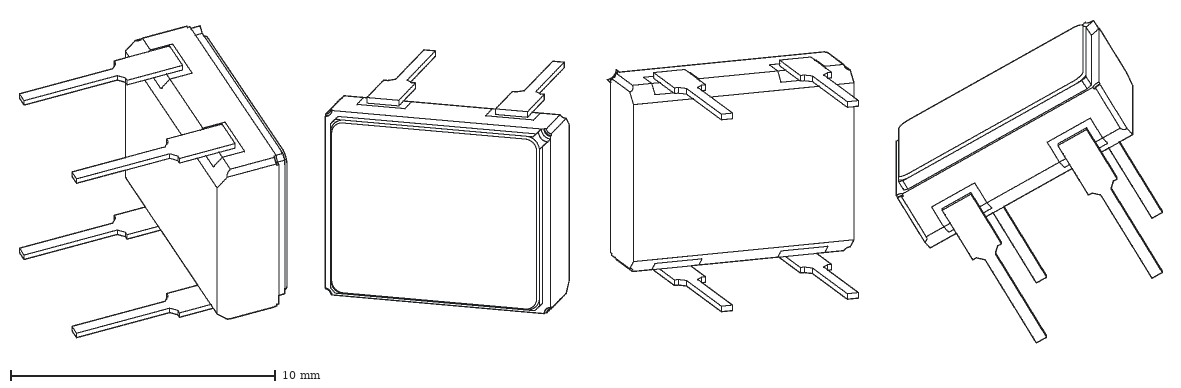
import cadquery as cq

width = 8.89
overall_depth = 8.12
overall_height = 7.77
lead_thickness = 0.22
height = overall_height - 2 * lead_thickness
half_width = width / 2
half_height = height / 2

body_back = 2.45
flange_back = 2.54
lid_back = 2.925
lip_back = 3.05

bevel_depth = 0.62
bevel_drop = 0.58
body_groove_radius = 0.19
flange_groove_radius = 0.26

lid_inset_x = 0.33
lid_inset_z = 0.21
lid_chamfer = 0.19
tab_notch_radius = 0.365

lip_inset = 0.076
cove_radius = 0.16
lip_corner_radius = 0.445
lip_height = lip_back - lid_back

lead_pitch = 5.08
lead_start = 1.28
lead_tip = lip_back - overall_depth
shoulder_y = -1.005
neck_y = -1.24
blade_width = 1.26
shoulder_width = 0.94
shank_width = 0.45
pad_width = 1.89
pad_back = 1.54
pad_front = 0.25
pad_depth = bevel_drop * (bevel_depth - pad_front) / bevel_depth

lead_places = [(x, side) for x in (-lead_pitch / 2, lead_pitch / 2) for side in (1, -1)]


def xz_plane(y):
    """Plane at the given Y whose local axes are +X and +Z; it extrudes toward -Y."""
    return cq.Workplane("XZ", origin=(0, y, 0))


def corner_grooves(radius, y_front, y_back):
    """Four round cutters, one centred on each corner of the housing outline."""
    return (
        xz_plane(y_back)
        .rect(width, height, forConstruction=True)
        .vertices()
        .circle(radius)
        .extrude(y_back - y_front)
    )


def make_body():
    """Main block, bevelled along its upper and lower front edges."""
    block = (
        cq.Workplane("YZ", origin=(-half_width, 0, 0))
        .moveTo(0, half_height - bevel_drop)
        .lineTo(bevel_depth, half_height)
        .lineTo(body_back, half_height)
        .lineTo(body_back, -half_height)
        .lineTo(bevel_depth, -half_height)
        .lineTo(0, bevel_drop - half_height)
        .close()
        .extrude(width)
    )
    return block.cut(corner_grooves(body_groove_radius, 0, body_back))


def make_flange():
    """Thin plate behind the main block with larger corner grooves."""
    plate = xz_plane(flange_back).rect(width, height).extrude(flange_back - body_back)
    return plate.cut(corner_grooves(flange_groove_radius, body_back, flange_back))


def make_lid():
    """Inset plate with chamfered corners and a notched 45 degree tab at one corner."""
    side = half_width - lid_inset_x
    top = half_height - lid_inset_z
    thickness = lid_back - flange_back
    plate = (
        xz_plane(lid_back)
        .rect(2 * side, 2 * top)
        .extrude(thickness)
        .edges("|Y")
        .chamfer(lid_chamfer)
    )
    tab_tip_x = tab_notch_radius - half_width
    tab_tip_z = half_height - tab_notch_radius
    tab = (
        xz_plane(lid_back)
        .moveTo(-half_width, tab_tip_z)
        .radiusArc((tab_tip_x, half_height), -tab_notch_radius)
        .lineTo(tab_tip_x + lid_inset_z, top)
        .lineTo(-side, tab_tip_z - lid_inset_x)
        .close()
        .extrude(thickness)
    )
    return plate.union(tab)


def make_lip():
    """Rounded rectangle on the lid whose side wall flares out in a concave cove."""
    top_width = width - 2 * (lid_inset_x + lip_inset)
    top_height = height - 2 * (lid_inset_z + lip_inset)
    foot_width = top_width + 2 * lip_inset
    foot_height = top_height + 2 * lip_inset
    foot_radius = lip_corner_radius + lip_inset
    slab = (
        xz_plane(lip_back)
        .rect(foot_width, foot_height)
        .extrude(lip_height)
        .edges("|Y")
        .fillet(foot_radius)
    )
    path = slab.faces(">Y").wires()
    cove = (
        cq.Workplane("YZ")
        .moveTo(lip_back, foot_height / 2)
        .lineTo(lip_back, top_height / 2)
        .radiusArc((lid_back, foot_height / 2), cove_radius)
        .close()
        .sweep(path, transition="round")
    )
    return slab.cut(cove)


def make_pad_block(x, side):
    """Rectangular block let into the housing; side is +1 for the top, -1 for the bottom."""
    pad_length = pad_back - pad_front
    centre = (x, (pad_back + pad_front) / 2, side * (half_height - pad_depth / 2))
    return cq.Workplane("XY", origin=centre).box(pad_width, pad_length, pad_depth)


def make_lead(x, side):
    """Flat lead: a wide blade that tapers to a narrow shank."""
    bottom = half_height if side > 0 else -half_height - lead_thickness
    return (
        cq.Workplane("XY", origin=(x, 0, bottom))
        .moveTo(0, lead_start)
        .lineTo(blade_width / 2, lead_start)
        .lineTo(blade_width / 2, shoulder_y)
        .lineTo(shoulder_width / 2, shoulder_y)
        .lineTo(shank_width / 2, neck_y)
        .lineTo(shank_width / 2, lead_tip)
        .lineTo(0, lead_tip)
        .mirrorY()
        .extrude(lead_thickness)
    )


solid_housing = make_body().union(make_flange()).union(make_lid()).union(make_lip())

housing = solid_housing
pads = []
leads = []
for x, side in lead_places:
    block = make_pad_block(x, side)
    pads.append(block.intersect(solid_housing).val())
    housing = housing.cut(block)
    leads.append(make_lead(x, side).val())

result = cq.Compound.makeCompound([housing.val(), *pads, *leads])